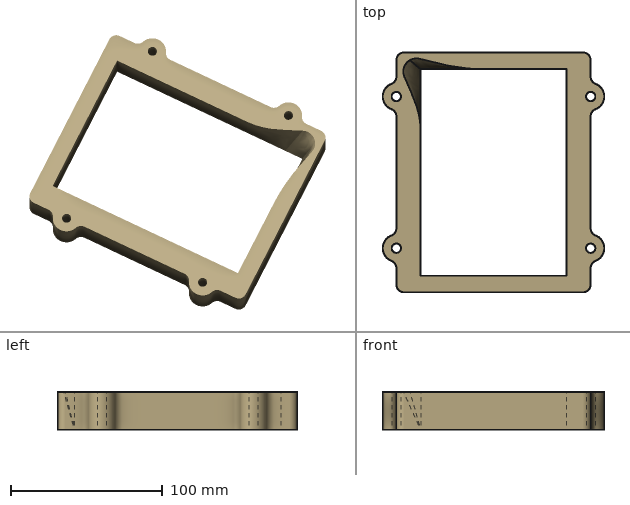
import cadquery as cq
import math

height = 25.0
frame_length = 158.0
frame_width = 128.0
corner_radius = 5.0
window_width = 96.0
window_length = 135.9

lug_radius = 9.0
lug_fillet = 5.0
lug_spacing = 99.9
hole_diameter = 6.0

funnel_radius = 8.7
funnel_center = (-50.7, 66.4)
funnel_side_angle = 203.0
funnel_corner_angle = 120.0
funnel_end_angle = 76.0
funnel_side_y = 27.5
funnel_end_x = -5.4
funnel_foot_end_x = -0.6
side_rim_point = (-52.8, 49.3)
end_rim_point = (-34.5, 71.3)
foot_side_length = 12.5
foot_end_length = 6.5


def make_lug(side):
    """Round lug on one side, blended into the frame by concave fillets."""
    wall = frame_width / 2
    reach = math.sqrt((lug_radius + lug_fillet) ** 2 - lug_fillet**2)
    touch = lug_radius / (lug_radius + lug_fillet)
    touch_x = wall + lug_fillet * touch
    touch_y = reach * touch
    half_angle = math.atan2(reach, lug_fillet) / 2
    mid_x = wall + lug_fillet * (1 - math.cos(half_angle))
    mid_y = reach - lug_fillet * math.sin(half_angle)
    lug = (
        cq.Workplane("XY")
        .moveTo(wall - lug_radius, -reach)
        .lineTo(wall, -reach)
        .threePointArc((mid_x, -mid_y), (touch_x, -touch_y))
        .threePointArc((wall + lug_radius, 0), (touch_x, touch_y))
        .threePointArc((mid_x, mid_y), (wall, reach))
        .lineTo(wall - lug_radius, reach)
        .close()
        .extrude(height)
    )
    return lug if side > 0 else lug.mirror("YZ")


def point_on_circle(center, radius, degrees):
    angle = math.radians(degrees)
    return (center[0] + radius * math.cos(angle), center[1] + radius * math.sin(angle))


def unit_tangent(degrees):
    """Clockwise direction of travel at an angle on a circle."""
    angle = math.radians(degrees)
    return (math.sin(angle), -math.cos(angle))


def make_funnel():
    """Ruled cutter from the square window corner up to the teardrop rim."""
    wall_x = -window_width / 2
    wall_y = window_length / 2
    side_end = (wall_x, funnel_side_y)
    far_end = (funnel_end_x, wall_y)

    rim_side = point_on_circle(funnel_center, funnel_radius, funnel_side_angle)
    rim_side_middle = point_on_circle(
        funnel_center, funnel_radius, (funnel_side_angle + funnel_corner_angle) / 2
    )
    rim_corner = point_on_circle(funnel_center, funnel_radius, funnel_corner_angle)
    rim_end_middle = point_on_circle(
        funnel_center, funnel_radius, (funnel_corner_angle + funnel_end_angle) / 2
    )
    rim_end = point_on_circle(funnel_center, funnel_radius, funnel_end_angle)

    return (
        cq.Workplane("XY")
        .moveTo(*side_end)
        .lineTo(wall_x, wall_y - foot_side_length)
        .lineTo(wall_x, wall_y)
        .lineTo(wall_x + foot_end_length, wall_y)
        .lineTo(funnel_foot_end_x, wall_y)
        .close()
        .workplane(offset=height)
        .moveTo(*side_end)
        .spline(
            [side_end, side_rim_point, rim_side],
            tangents=[(0, 1), unit_tangent(funnel_side_angle)],
        )
        .threePointArc(rim_side_middle, rim_corner)
        .threePointArc(rim_end_middle, rim_end)
        .spline(
            [rim_end, end_rim_point, far_end],
            tangents=[unit_tangent(funnel_end_angle), (1, 0)],
        )
        .close()
        .loft(ruled=True, combine=False)
    )


frame = cq.Workplane("XY").box(frame_width, frame_length, height, centered=(True, True, False))
frame = frame.edges("|Z").fillet(corner_radius)

for side in (-1, 1):
    for lug_y in (-lug_spacing / 2, lug_spacing / 2):
        frame = frame.union(make_lug(side).translate((0, lug_y, 0)))

window = cq.Workplane("XY").rect(window_width, window_length).extrude(height)
holes = (
    cq.Workplane("XY")
    .rarray(frame_width, lug_spacing, 2, 2)
    .circle(hole_diameter / 2)
    .extrude(height)
)

result = frame.cut(window).cut(holes).cut(make_funnel())